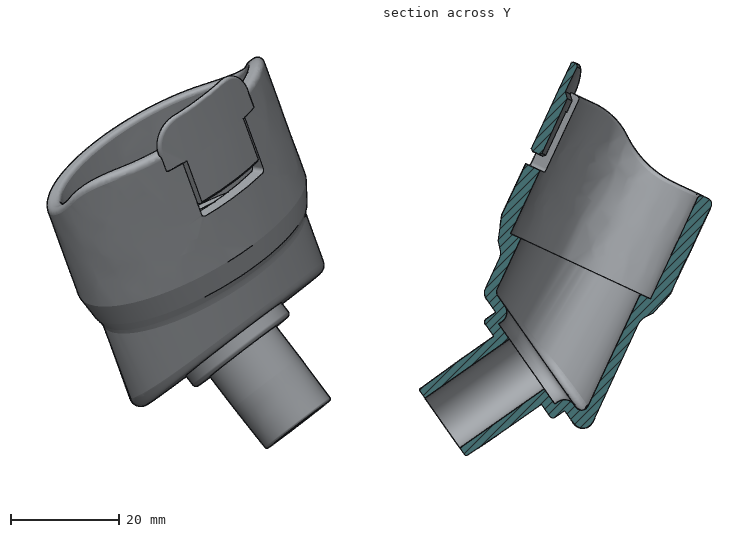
import cadquery as cq
import math

CUP_TILT = 25.0
NOZZLE_BEND = 30.0

UPPER_OUTER = (17.2, 26.34)
LOWER_OUTER = (14.25, 24.1)
UPPER_WALL = 3.0
LOWER_WALL = 2.1

SHOULDER_TOP = 2.4
SHOULDER_BOTTOM = -2.2
SHOULDER_TAPER = 1.4
NECK_HEIGHT = 2.1
NECK_BLEND = 2.2

MOUTH_LOW = 21.3
MOUTH_HIGH = 28.3
MOUTH_SLOPE = 39.0
MOUTH_LOW_RADIUS = 18.45
MOUTH_CURVE_START = -9.3
RIM_OUTER_FILLET = 1.15
RIM_INNER_FILLET = 0.7

FLOOR_CENTRE = -20.5
FLOOR_OUTER_FILLET = 2.1
FLOOR_INNER_FILLET = 1.3
NOZZLE_OFFSET = 1.15
NOZZLE_RADIUS = 7.7
NOZZLE_TIP_RADIUS = 7.55
NOZZLE_STRAIGHT = 10.2
NOZZLE_LENGTH = 19.75
NOZZLE_TIP_FILLET = 0.35
BORE_RADIUS = NOZZLE_RADIUS - LOWER_WALL
FLANGE_RADIUS = 11.1
FLANGE_HEIGHT = 2.8
FLANGE_FILLET = 0.7

CLIP_PROUD = 0.3
PAD_THICKNESS = 1.4
PAD_HALF_WIDTH = 12.0
PAD_BOTTOM = 24.6
PAD_TOP = 33.6
PAD_CORNER = 5.45
PAD_EDGE_FILLET = 0.6
WINDOW_HALF_WIDTH = 8.5
WINDOW_BOTTOM = 12.85
WINDOW_CORNER = 0.7
TONGUE_THICKNESS = 2.25
TONGUE_HALF_WIDTH = 7.8
TONGUE_BOTTOM = 15.4
TONGUE_TIP_CHAMFER = 0.4
BRIDGE_TOP = 26.95
BRIDGE_RAMP = 1.0

TOLERANCE = 0.1
REACH = 87.2


def grown(oval, amount):
    """Oval with both half sizes changed by the same amount."""
    return (oval[0] + amount, oval[1] + amount)


UPPER_INNER = grown(UPPER_OUTER, -UPPER_WALL)
CLIP_FACE = grown(UPPER_OUTER, CLIP_PROUD)


def oval_prism(oval, bottom, top):
    return cq.Workplane("XY").workplane(offset=bottom).ellipse(*oval).extrude(top - bottom)


def oval_taper(lower_oval, upper_oval, bottom, top):
    return (
        cq.Workplane("XY").workplane(offset=bottom).ellipse(*lower_oval)
        .workplane(offset=top - bottom).ellipse(*upper_oval)
        .loft(ruled=True)
    )


def edges_within(half_x, half_y, bottom, top):
    """Selector for edges that lie wholly inside a box centred on the cup axis."""
    return cq.selectors.BoxSelector(
        (-half_x, -half_y, bottom), (half_x, half_y, top), boundingbox=True
    )


def floor_plane(depth=0.0):
    """Plane of the slanted floor, its normal along the nozzle, moved outwards by depth."""
    bend = math.radians(NOZZLE_BEND)
    along = (math.sin(bend), 0, -math.cos(bend))
    up_floor = (math.cos(bend), 0, math.sin(bend))
    origin = (along[0] * depth, 0, FLOOR_CENTRE + along[2] * depth)
    return cq.Plane(origin=origin, xDir=up_floor, normal=along)


def recess_section_plane():
    floor = floor_plane()
    origin = floor.toWorldCoords((NOZZLE_OFFSET, 0, 0))
    return cq.Plane(origin=origin, xDir=floor.xDir, normal=floor.xDir.cross(floor.zDir))


def beyond_floor(depth):
    return cq.Workplane(floor_plane(depth)).rect(2 * REACH, 2 * REACH).extrude(REACH)


def above_mouth():
    """Everything above the S-shaped mouth, constant along Y."""
    slope = math.radians(MOUTH_SLOPE)

    def arc_point(radius, angle):
        return radius * math.sin(angle), radius * (1 - math.cos(angle))

    mid_run, mid_rise = arc_point(MOUTH_LOW_RADIUS, slope / 2)
    run, rise = arc_point(MOUTH_LOW_RADIUS, slope)
    turn = (MOUTH_CURVE_START + run, MOUTH_LOW + rise)
    high_radius = (MOUTH_HIGH - turn[1]) / (1 - math.cos(slope))
    back_run, back_rise = arc_point(high_radius, slope / 2)
    curve_end = turn[0] + high_radius * math.sin(slope)
    return (
        cq.Workplane("XZ")
        .moveTo(-REACH, MOUTH_LOW)
        .lineTo(MOUTH_CURVE_START, MOUTH_LOW)
        .threePointArc((MOUTH_CURVE_START + mid_run, MOUTH_LOW + mid_rise), turn)
        .threePointArc((curve_end - back_run, MOUTH_HIGH - back_rise), (curve_end, MOUTH_HIGH))
        .lineTo(REACH, MOUTH_HIGH)
        .lineTo(REACH, REACH)
        .lineTo(-REACH, REACH)
        .close()
        .extrude(REACH, both=True)
    )


def cup_outside():
    neck_bottom = SHOULDER_BOTTOM - NECK_HEIGHT
    shoulder_oval = grown(UPPER_OUTER, -SHOULDER_TAPER)
    lower = oval_prism(LOWER_OUTER, -REACH, neck_bottom).cut(beyond_floor(0))
    lower = lower.faces("<Z").edges("<Z").fillet(FLOOR_OUTER_FILLET)
    neck = oval_taper(LOWER_OUTER, shoulder_oval, neck_bottom, SHOULDER_BOTTOM)
    shoulder = oval_taper(shoulder_oval, UPPER_OUTER, SHOULDER_BOTTOM, SHOULDER_TOP)
    upper = oval_prism(UPPER_OUTER, SHOULDER_TOP, REACH).cut(above_mouth())
    body = lower.union(neck).union(shoulder).union(upper)
    neck_edge = edges_within(REACH, REACH, neck_bottom - TOLERANCE, neck_bottom + TOLERANCE)
    body = body.edges(neck_edge).fillet(NECK_BLEND)
    return body.edges(edges_within(REACH, REACH, MOUTH_LOW - TOLERANCE, REACH)).fillet(RIM_OUTER_FILLET)


def cup_cavity():
    lower_oval = grown(LOWER_OUTER, -LOWER_WALL)
    lower = oval_prism(lower_oval, -REACH, SHOULDER_TOP).cut(beyond_floor(-LOWER_WALL))
    lower = lower.faces("<Z").edges("<Z").fillet(FLOOR_INNER_FILLET)
    return lower.union(oval_prism(UPPER_INNER, 0, REACH))


def cup():
    body = cup_outside().cut(cup_cavity())
    inner_x, inner_y = grown(UPPER_INNER, TOLERANCE)
    return body.edges(edges_within(inner_x, inner_y, MOUTH_LOW - TOLERANCE, REACH)).fillet(RIM_INNER_FILLET)


def floor_disc(radius, start, end):
    """Round boss along the nozzle axis, between two distances from the outer floor face."""
    return (
        cq.Workplane(floor_plane(start))
        .center(NOZZLE_OFFSET, 0)
        .circle(radius)
        .extrude(end - start)
    )


def nozzle():
    outward = cq.selectors.DirectionMinMaxSelector(floor_plane().zDir)
    flange = floor_disc(FLANGE_RADIUS, -LOWER_WALL / 2, FLANGE_HEIGHT)
    flange = flange.faces(outward).edges().fillet(FLANGE_FILLET)
    tip = (
        cq.Workplane(floor_plane(NOZZLE_STRAIGHT))
        .center(NOZZLE_OFFSET, 0).circle(NOZZLE_RADIUS)
        .workplane(offset=NOZZLE_LENGTH - NOZZLE_STRAIGHT).circle(NOZZLE_TIP_RADIUS)
        .loft()
    )
    tip = tip.faces(outward).edges().fillet(NOZZLE_TIP_FILLET)
    return flange.union(floor_disc(NOZZLE_RADIUS, 0, NOZZLE_STRAIGHT)).union(tip)


def nozzle_bore():
    """Hole through the nozzle with the wider, round-lipped recess inside the flange."""
    pipe_hole = floor_disc(BORE_RADIUS, 0, NOZZLE_LENGTH + 0.7)
    recess_radius = FLANGE_RADIUS - LOWER_WALL
    lip_middle = LOWER_WALL * math.sqrt(0.5)
    recess = (
        cq.Workplane(recess_section_plane())
        .moveTo(0, -LOWER_WALL)
        .lineTo(FLANGE_RADIUS, -LOWER_WALL)
        .threePointArc((FLANGE_RADIUS - lip_middle, -lip_middle), (recess_radius, 0))
        .lineTo(recess_radius, FLANGE_HEIGHT - LOWER_WALL)
        .lineTo(0, FLANGE_HEIGHT - LOWER_WALL)
        .close()
        .revolve(360, (0, 0, 0), (0, 1, 0))
    )
    return recess.union(pipe_hole)


def block(half_width, bottom, top):
    """Block on the +X side of the cup axis, centred on Y = 0."""
    return (
        cq.Workplane("XY").workplane(offset=bottom)
        .center(REACH / 2, 0)
        .rect(REACH, 2 * half_width)
        .extrude(top - bottom)
    )


def clip_layer(thickness, bottom, top):
    """Oval shell of the given thickness, measured inwards from the clip face."""
    shell = oval_prism(CLIP_FACE, bottom, top)
    return shell.cut(oval_prism(grown(CLIP_FACE, -thickness), bottom, top))


def window():
    opening = block(WINDOW_HALF_WIDTH, WINDOW_BOTTOM, REACH)
    return opening.edges("<Z and |X").fillet(WINDOW_CORNER)


def pad():
    outline = block(PAD_HALF_WIDTH, PAD_BOTTOM, PAD_TOP)
    outline = outline.edges(">Z and |X").fillet(PAD_CORNER)
    plate = clip_layer(PAD_THICKNESS, PAD_BOTTOM, PAD_TOP).intersect(outline)
    rounded = edges_within(REACH, REACH, PAD_BOTTOM + TOLERANCE, REACH)
    return plate.edges(rounded).fillet(PAD_EDGE_FILLET)


def tongue():
    """Tongue in the window and the bridge that joins it to the window sides and the pad."""
    ramp_top = BRIDGE_TOP + BRIDGE_RAMP
    shell = clip_layer(TONGUE_THICKNESS, TONGUE_BOTTOM, ramp_top)
    shell = shell.faces("<Z").edges().chamfer(TONGUE_TIP_CHAMFER)
    inner = grown(CLIP_FACE, -TONGUE_THICKNESS)
    shell = shell.cut(oval_taper(inner, grown(CLIP_FACE, -PAD_THICKNESS), BRIDGE_TOP, ramp_top))
    outline = block(TONGUE_HALF_WIDTH, TONGUE_BOTTOM, ramp_top)
    outline = outline.union(block(WINDOW_HALF_WIDTH, PAD_BOTTOM, ramp_top))
    return shell.intersect(outline)


body = cup().union(nozzle()).cut(nozzle_bore())
body = body.cut(window()).union(pad()).union(tongue())
result = body.rotate((0, 0, 0), (0, 1, 0), -CUP_TILT)